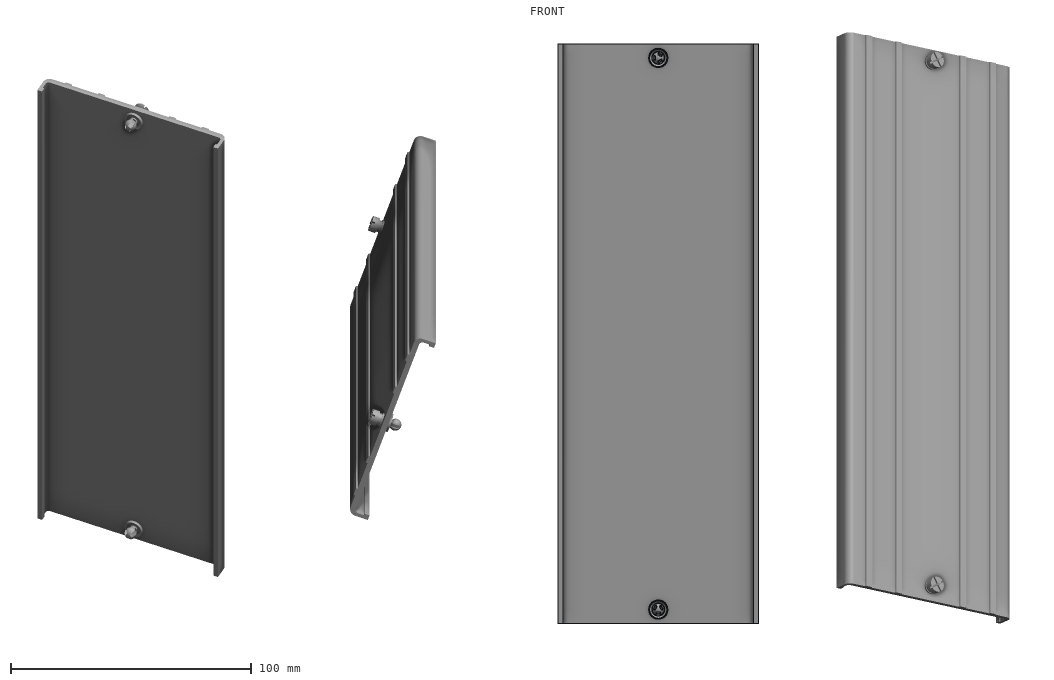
import cadquery as cq
import math

length = 240.5
width = 83.2
channel_depth = 8.7
web_thickness = 2.28
leg_thickness = 1.5
bend_radius = 3.0
inner_radius = bend_radius - leg_thickness
lip_thickness = 2.2
lip_height = 2.2

rib_offsets = (16.4, 31.5)
rib_base_width = 3.4
rib_top_width = 3.0
rib_height = 0.7

screw_end_distance = 5.8
shank_diameter = 3.5
flange_diameter = 8.0
flange_thickness = 1.2
dish_rim_diameter = 7.2
dish_floor_diameter = 5.3
dish_depth = 0.7
ball_diameter = 5.0
ball_center_y = 3.0
notch_count = 3
notch_width = 1.7
notch_depth = 1.5
notch_angles = {"upper": 60.0, "lower": 30.0}
collar_diameter = 5.8
collar_thickness = 0.7
neck_diameter = 5.0
head_diameter = 6.5
head_thickness = 3.0
head_end_y = 13.7
slot_width = 0.7
slot_depth = 1.2
slot_angles = (58.0, 148.0)

web_front_y = channel_depth - web_thickness
half_width = width / 2
screw_heights = {
    "upper": length / 2 - screw_end_distance,
    "lower": screw_end_distance - length / 2,
}


def arc_midpoint(center_x, center_y, radius):
    """Point halfway round a quarter arc that bulges toward -X, +Y."""
    reach = radius * math.sqrt(0.5)
    return (center_x - reach, center_y + reach)


def channel_half():
    """The -X half of the channel, extruded along Z."""
    bend_x = bend_radius - half_width
    outer_bend_y = channel_depth - bend_radius
    inner_bend_y = web_front_y - inner_radius
    profile = (
        cq.Workplane("XY", origin=(0, 0, -length / 2))
        .moveTo(0, channel_depth)
        .lineTo(bend_x, channel_depth)
        .threePointArc(arc_midpoint(bend_x, outer_bend_y, bend_radius), (-half_width, outer_bend_y))
        .lineTo(-half_width, 0)
        .lineTo(lip_thickness - half_width, 0)
        .lineTo(lip_thickness - half_width, lip_height)
        .lineTo(leg_thickness - half_width, lip_height)
        .lineTo(leg_thickness - half_width, inner_bend_y)
        .threePointArc(arc_midpoint(bend_x, inner_bend_y, inner_radius), (bend_x, web_front_y))
        .lineTo(0, web_front_y)
        .close()
    )
    return profile.extrude(length)


def rib(center_x):
    """Trapezoidal rib that runs the full length of the back face."""
    base = rib_base_width / 2
    top = rib_top_width / 2
    rib_top_y = channel_depth + rib_height
    return (
        cq.Workplane("XY", origin=(center_x, 0, -length / 2))
        .polyline([(-base, channel_depth), (base, channel_depth), (top, rib_top_y), (-top, rib_top_y)])
        .close()
        .extrude(length)
    )


def disc(diameter, start_y, end_y):
    """Cylinder about the Y axis."""
    return cq.Workplane("XZ", origin=(0, start_y, 0)).circle(diameter / 2).extrude(start_y - end_y)


def make_panel():
    half = channel_half()
    panel = half.union(half.mirror("YZ"))
    for offset in rib_offsets:
        panel = panel.union(rib(offset)).union(rib(-offset))
    for height in screw_heights.values():
        hole = disc(shank_diameter, web_front_y, channel_depth)
        panel = panel.cut(hole.translate((0, 0, height)))
    return panel


def make_flange():
    """Flange against the front of the web, with a dished front face."""
    flange_front_y = web_front_y - flange_thickness
    flange = disc(flange_diameter, flange_front_y, web_front_y)
    dish = (
        cq.Workplane("XY")
        .moveTo(0, flange_front_y)
        .lineTo(dish_rim_diameter / 2, flange_front_y)
        .lineTo(dish_floor_diameter / 2, flange_front_y + dish_depth)
        .lineTo(0, flange_front_y + dish_depth)
        .close()
        .revolve(360, (0, 0, 0), (0, 1, 0))
    )
    return flange.cut(dish)


def cut_head_slots(screw):
    """Crossed driver slots in the +Y end of the head."""
    for angle in slot_angles:
        slot = (
            cq.Workplane("XY")
            .box(head_diameter, slot_depth, slot_width)
            .translate((0, head_end_y - slot_depth / 2, 0))
            .rotate((0, 0, 0), (0, 1, 0), -angle)
        )
        screw = screw.cut(slot)
    return screw


def cut_ball_notches(screw, first_angle):
    """Notches round the ball, parallel to the screw axis."""
    flange_front_y = web_front_y - flange_thickness
    ball_radius = ball_diameter / 2
    for index in range(notch_count):
        notch = (
            cq.Workplane("XY")
            .box(2 * notch_depth, flange_front_y, notch_width)
            .translate((ball_radius, flange_front_y / 2, 0))
            .rotate((0, 0, 0), (0, 1, 0), -(first_angle + index * 360 / notch_count))
        )
        screw = screw.cut(notch)
    return screw


def make_screw(height, first_notch_angle):
    collar_end_y = channel_depth + collar_thickness
    head_start_y = head_end_y - head_thickness
    screw = (
        disc(shank_diameter, ball_center_y, collar_end_y)
        .union(cq.Workplane("XY", origin=(0, ball_center_y, 0)).sphere(ball_diameter / 2))
        .union(make_flange())
        .union(disc(collar_diameter, channel_depth, collar_end_y))
        .union(disc(neck_diameter, collar_end_y, head_start_y))
        .union(disc(head_diameter, head_start_y, head_end_y))
    )
    screw = cut_head_slots(screw)
    screw = cut_ball_notches(screw, first_notch_angle)
    return screw.translate((0, 0, height))


panel = make_panel()
screws = []
for position, height in screw_heights.items():
    screws.append(make_screw(height, notch_angles[position]))

result = cq.Compound.makeCompound([panel.val(), *[screw.val() for screw in screws]])